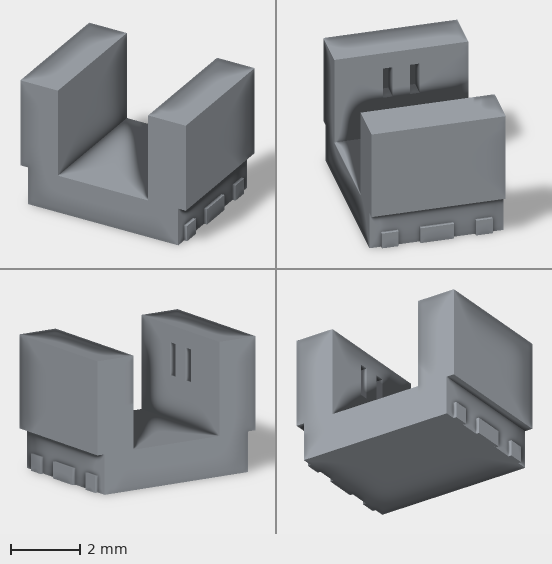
import cadquery as cq

LENGTH = 5.5
DEPTH = 4.0
HEIGHT = 4.0
BASE_LENGTH = 5.0
BASE_HEIGHT = 1.205
GAP_WIDTH = 3.0

SLOT_WIDTH = 0.29
SLOT_HEIGHT = 0.99
SLOT_DEPTH = 0.5
SLOT_PITCH = 0.805
SLOT_TOP_MARGIN = 0.515

TERMINAL_THICKNESS = 0.1
TERMINAL_HEIGHT = 0.5
NARROW_TERMINAL_WIDTH = 0.5
WIDE_TERMINAL_WIDTH = 2 * NARROW_TERMINAL_WIDTH
TERMINAL_PITCH = 1.4


def make_housing():
    arm_height = HEIGHT - BASE_HEIGHT
    housing = cq.Workplane("XY").box(BASE_LENGTH, DEPTH, BASE_HEIGHT, centered=(True, True, False))

    arm_width = (LENGTH - GAP_WIDTH) / 2
    for side in (-1, 1):
        arm = cq.Workplane("XY").box(arm_width, DEPTH, arm_height, centered=(True, True, False))
        arm_center = side * (GAP_WIDTH + arm_width) / 2
        housing = housing.union(arm.translate((arm_center, 0, BASE_HEIGHT)))

    slot_bottom = HEIGHT - SLOT_TOP_MARGIN - SLOT_HEIGHT
    for side in (-1, 1):
        slot = cq.Workplane("XY").box(SLOT_DEPTH, SLOT_WIDTH, SLOT_HEIGHT, centered=(False, True, False))
        housing = housing.cut(slot.translate((GAP_WIDTH / 2, side * SLOT_PITCH / 2, slot_bottom)))
    return housing


def make_terminal(side, y_center, width):
    terminal = cq.Workplane("XY").box(
        TERMINAL_THICKNESS, width, TERMINAL_HEIGHT, centered=(True, True, False)
    )
    x_center = side * (BASE_LENGTH + TERMINAL_THICKNESS) / 2
    return terminal.translate((x_center, y_center, 0))


housing = make_housing()

terminal_layout = [
    (-TERMINAL_PITCH, NARROW_TERMINAL_WIDTH),
    (0, WIDE_TERMINAL_WIDTH),
    (TERMINAL_PITCH, NARROW_TERMINAL_WIDTH),
]
terminals = []
for side in (-1, 1):
    for y_center, width in terminal_layout:
        terminals.append(make_terminal(side, y_center, width).val())

result = cq.Compound.makeCompound([housing.val(), *terminals])